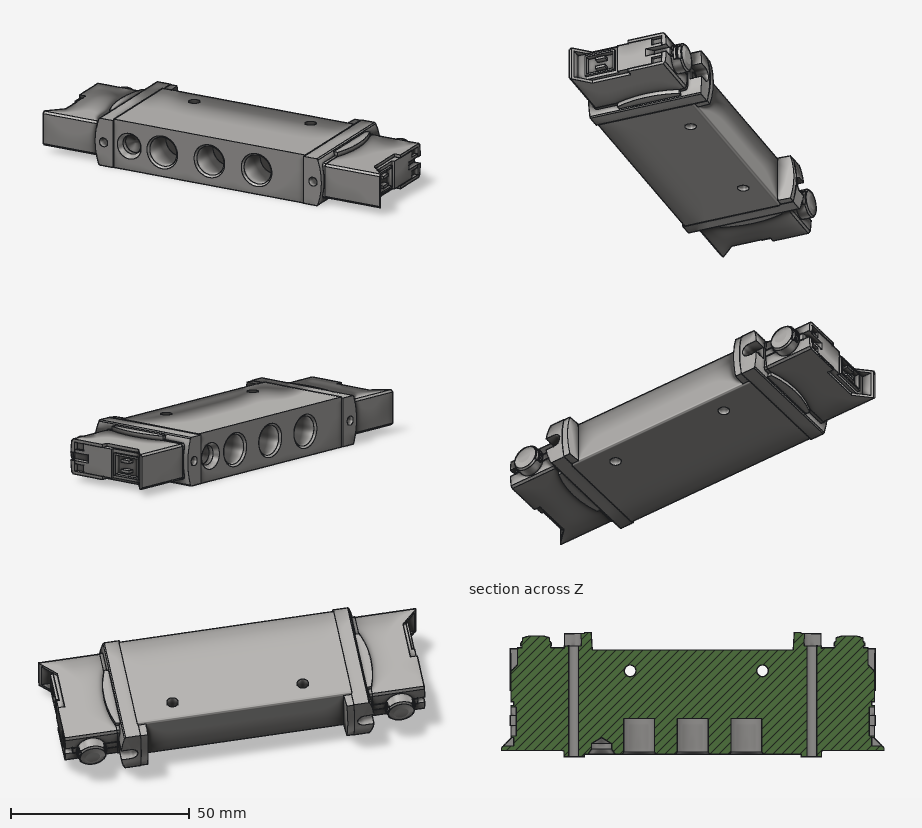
import cadquery as cq
import math

body_half_length = 30.5
body_half_height = 7.2
body_front = -16.7
body_back = 12.55
body_back_radius = 0.9

port_pitch = 15.0
port_bore = 8.57
port_mouth = 9.75
port_mouth_depth = 0.6
port_depth = 10.0
pilot_x = -25.5
pilot_bore = 5.6
pilot_mouth = 7.6
pilot_mouth_depth = 1.5
pilot_depth = 3.0
drill_point_angle = 118.0

mount_hole = 3.2
mount_hole_y = 6.65
mount_hole_xs = (-17.5, 19.5)

plate_inner_x = -30.3
plate_edge_x = -34.9
plate_crown_x = -36.0
plate_half_height = 7.0
plate_front = -17.4
plate_back_edge = 16.35
plate_back_crown = 17.15
plate_edge_chamfer = 0.35
tab_tip_x = -28.35
tab_root_x = -28.05
tab_rise = 0.25
tab_half_height = 6.85
screw_x = -33.3
screw_hole = 2.6
screw_head = 4.13
screw_seat_y = 13.6

bulge_crown_x = -37.9
bulge_edge_x = -36.3
bulge_half_height = 6.3
bulge_front = -8.4
bulge_back = 10.4

solenoid_half_height = 5.05
solenoid_face_x = -51.05
solenoid_front = -15.65
solenoid_back_edge = 12.55
solenoid_back_crown = 12.9
rail_back = 13.15
rail_half_width = 1.15
solenoid_chamfer = 0.6
collar_x = -36.25
collar_step = 0.12
lip_tip_x = -53.5
side_notch_x = -49.1
side_notch_back = 1.2
slope_start_y = -10.5
panel_half_height = 4.15
panel_back = 11.45
panel_recess = 0.2

socket_floor_x = -50.1
socket_back = -2.0
socket_front = -14.35
plug_back = -3.0
plug_front = -12.0
plug_half_height = 3.2
plug_wall = 0.5
plug_depth = 1.5
pin_tip_x = -51.05
pin_front = -8.7
pin_back = -5.8
pin_thickness = 0.8
pin_z = 1.42

window_front = 8.3
window_inner_z = 2.05
window_depth = 1.0
slot_half_height = 1.15
slot_front = 6.5
slot_depth = 1.85

button_x = -43.8
button_diameter = 8.1
button_shoulder_y = 15.5
button_rim_y = 16.0
button_rim_diameter = 7.2
button_top_y = 16.4
button_top_diameter = 4.13
key_diameter = 8.57
key_half_width = 2.05
key_bottom_y = 13.6
key_bevel_y = 14.4
key_top_y = 14.85
key_groove_diameter = 7.6


def box(x, y, z):
    """Box spanning the (low, high) pairs given for each axis."""
    size = (x[1] - x[0], y[1] - y[0], z[1] - z[0])
    return cq.Workplane("XY").box(*size, centered=False).translate((x[0], y[0], z[0]))


def band(x, y, half_height):
    """Box spanning x and y, symmetric about Z = 0."""
    return box(x, y, (-half_height, half_height))


def cylinder_y(x, diameter, y_low, y_high):
    """Cylinder along Y at Z = 0."""
    radius = diameter / 2
    return cq.Workplane("XZ", origin=(x, y_low, 0)).circle(radius).extrude(y_low - y_high)


def drilled_port(x, bore, mouth, mouth_depth, depth, pointed):
    """Tool for a countersunk port entering the front face, with a flat or drill-point bottom."""
    radius = bore / 2
    mouth_radius = mouth / 2
    tip = radius / math.tan(math.radians(drill_point_angle / 2)) if pointed else 0.0
    outline = (
        cq.Workplane("XY")
        .moveTo(0, 0)
        .lineTo(mouth_radius, 0)
        .lineTo(radius, mouth_depth)
        .lineTo(radius, depth)
    )
    outline = outline.lineTo(0, depth + tip) if pointed else outline.lineTo(0, depth)
    return outline.close().revolve(axisStart=(0, 0, 0), axisEnd=(0, 1, 0)).translate((x, body_front, 0))


def make_body():
    body = band((-body_half_length, body_half_length), (body_front, body_back), body_half_height)
    body = body.faces(">Y").edges("|X").fillet(body_back_radius)
    for index in (-1, 0, 1):
        x = index * port_pitch
        body = body.cut(drilled_port(x, port_bore, port_mouth, port_mouth_depth, port_depth, False))
    pilot = drilled_port(pilot_x, pilot_bore, pilot_mouth, pilot_mouth_depth, pilot_depth, True)
    body = body.cut(pilot)
    for x in mount_hole_xs:
        hole = cq.Workplane("XY").center(x, mount_hole_y).circle(mount_hole / 2)
        body = body.cut(hole.extrude(body_half_height, both=True))
    return body


def crowned_profile(front, edge, crown, half_height, x, length):
    """Prism along +X whose back side (+Y) is an arc rising from edge to crown."""
    return (
        cq.Workplane("YZ", origin=(x, 0, 0))
        .moveTo(front, -half_height)
        .lineTo(edge, -half_height)
        .threePointArc((crown, 0), (edge, half_height))
        .lineTo(front, half_height)
        .close()
        .extrude(length)
    )


def make_plate():
    plate_length = plate_inner_x - plate_crown_x
    plate = crowned_profile(
        plate_front, plate_back_edge, plate_back_crown, plate_half_height, plate_crown_x, plate_length
    )
    shoulder_x = plate_edge_x + plate_edge_chamfer
    arc_half_height = plate_half_height - plate_edge_chamfer
    outer_arc = (
        cq.Workplane("XZ", origin=(0, plate_front, 0))
        .moveTo(plate_inner_x, -plate_half_height)
        .lineTo(shoulder_x, -plate_half_height)
        .lineTo(plate_edge_x, -arc_half_height)
        .threePointArc((plate_crown_x, 0), (plate_edge_x, arc_half_height))
        .lineTo(shoulder_x, plate_half_height)
        .lineTo(plate_inner_x, plate_half_height)
        .close()
        .extrude(plate_front - plate_back_crown)
    )
    return plate.intersect(outer_arc)


def make_tab():
    """Tapered tab reaching from the plate over the back of the body."""
    crown = plate_back_crown + tab_rise
    tab = crowned_profile(
        body_back, plate_back_edge, crown, tab_half_height, plate_inner_x, tab_root_x - plate_inner_x
    )
    side = (
        cq.Workplane("XY")
        .moveTo(plate_inner_x, body_back)
        .lineTo(tab_root_x, body_back)
        .lineTo(tab_tip_x, crown)
        .lineTo(plate_inner_x, crown)
        .close()
        .extrude(tab_half_height, both=True)
    )
    return tab.intersect(side)


def cut_screw_hole(end):
    """Through hole with a head seat that opens towards the solenoid."""
    end = end.cut(cylinder_y(screw_x, screw_hole, plate_front, plate_back_crown))
    end = end.cut(cylinder_y(screw_x, screw_head, screw_seat_y, plate_back_crown))
    return end.cut(band((plate_crown_x, screw_x), (screw_seat_y, plate_back_crown), screw_head / 2))


def make_bulges():
    return (
        cq.Workplane("XY")
        .moveTo(plate_edge_x, bulge_front)
        .lineTo(bulge_edge_x, bulge_front)
        .threePointArc((bulge_crown_x, (bulge_front + bulge_back) / 2), (bulge_edge_x, bulge_back))
        .lineTo(plate_edge_x, bulge_back)
        .close()
        .extrude(bulge_half_height, both=True)
    )


def solenoid_prism(x, step):
    """Housing section grown outwards by step, running from x into the end plate."""
    z_full = solenoid_half_height + step
    z_flat = z_full - solenoid_chamfer
    front = solenoid_front - step
    back_edge = solenoid_back_edge + step
    crown = solenoid_back_crown + step
    return (
        cq.Workplane("YZ", origin=(x, 0, 0))
        .moveTo(front, -z_flat)
        .lineTo(front + solenoid_chamfer, -z_full)
        .lineTo(back_edge - solenoid_chamfer, -z_full)
        .lineTo(back_edge, -z_flat)
        .threePointArc((crown, 0), (back_edge, z_flat))
        .lineTo(back_edge - solenoid_chamfer, z_full)
        .lineTo(front + solenoid_chamfer, z_full)
        .lineTo(front, z_flat)
        .close()
        .extrude(plate_edge_x - x)
    )


def shape_solenoid_face(block):
    """Cut the outer end back to the face, leaving the core, the side notches and the sloped lip."""
    slope_run = side_notch_x - lip_tip_x
    sides = (
        cq.Workplane("XY")
        .moveTo(lip_tip_x, solenoid_back_crown)
        .lineTo(solenoid_face_x, solenoid_back_crown)
        .lineTo(solenoid_face_x, side_notch_back)
        .lineTo(side_notch_x, side_notch_back)
        .lineTo(side_notch_x, slope_start_y)
        .lineTo(lip_tip_x, slope_start_y - slope_run)
        .close()
        .extrude(solenoid_half_height, both=True)
    )
    panel_x = solenoid_face_x + panel_recess
    core_front = slope_start_y - (side_notch_x - socket_floor_x)
    core = band((panel_x, side_notch_x), (core_front, side_notch_back), panel_half_height)
    block = block.cut(sides.cut(core))
    return block.cut(band((solenoid_face_x, panel_x), (slope_start_y, panel_back), panel_half_height))


def add_connector(block):
    """Recessed socket holding a walled plug with two contact pins."""
    panel_x = solenoid_face_x + panel_recess
    block = block.cut(band((lip_tip_x, socket_floor_x), (socket_front, socket_back), panel_half_height))
    plug = band((panel_x, socket_floor_x), (plug_front, plug_back), plug_half_height)
    block = block.union(plug)
    cavity_floor_x = panel_x + plug_depth
    cavity = band(
        (panel_x, cavity_floor_x),
        (plug_front + plug_wall, plug_back - plug_wall),
        plug_half_height - plug_wall,
    )
    block = block.cut(cavity)
    for side in (-1, 1):
        z = side * pin_z
        pin_span = (z - pin_thickness / 2, z + pin_thickness / 2)
        block = block.union(box((pin_tip_x, cavity_floor_x), (pin_front, pin_back), pin_span))
    return block


def cut_windows_and_slot(block):
    """Two shallow windows and a central slot that continues as a raised rail along the back."""
    panel_x = solenoid_face_x + panel_recess
    for side in (-1, 1):
        span = sorted((side * window_inner_z, side * panel_half_height))
        block = block.cut(box((panel_x, panel_x + window_depth), (window_front, panel_back), span))
    slot = (
        cq.Workplane("XY")
        .moveTo(solenoid_face_x, solenoid_back_crown)
        .lineTo(solenoid_face_x, slot_front)
        .lineTo(panel_x, slot_front)
        .lineTo(panel_x + slot_depth, slot_front + slot_depth)
        .lineTo(panel_x + slot_depth, solenoid_back_crown)
        .close()
        .extrude(slot_half_height, both=True)
    )
    rail = band((panel_x + slot_depth, collar_x), (slot_front, rail_back), rail_half_width)
    return block.cut(slot).union(rail)


def make_button():
    """Round button with a low domed top, and a key under a shallow groove on two opposite sides."""
    root_y = solenoid_back_edge - solenoid_chamfer
    button = (
        cq.Workplane("XY")
        .moveTo(0, root_y)
        .lineTo(button_diameter / 2, root_y)
        .lineTo(button_diameter / 2, button_shoulder_y)
        .lineTo(button_rim_diameter / 2, button_rim_y)
        .lineTo(button_top_diameter / 2, button_top_y)
        .lineTo(0, button_top_y)
        .close()
        .revolve(axisStart=(0, 0, 0), axisEnd=(0, 1, 0))
        .translate((button_x, 0, 0))
    )
    reach = key_diameter / 2
    side_band = band((button_x - reach, button_x + reach), (root_y, button_top_y), key_half_width)
    groove_core = cylinder_y(button_x, key_groove_diameter, key_top_y, button_top_y)
    groove = cylinder_y(button_x, key_diameter, key_top_y, button_top_y).cut(groove_core)
    key = cylinder_y(button_x, key_diameter, key_bottom_y, key_top_y)
    key = key.faces(">Y").chamfer(key_top_y - key_bevel_y, (key_diameter - key_groove_diameter) / 2)
    return button.cut(groove.intersect(side_band)).union(key.intersect(side_band))


def make_end():
    plate = make_plate().union(make_tab()).union(make_bulges())
    solenoid = shape_solenoid_face(solenoid_prism(lip_tip_x, 0.0))
    solenoid = cut_windows_and_slot(add_connector(solenoid))
    collar = solenoid_prism(collar_x, collar_step)
    return cut_screw_hole(plate.union(solenoid).union(collar)).union(make_button())


left_end = make_end()
right_end = left_end.mirror("YZ")
result = make_body().union(left_end).union(right_end)